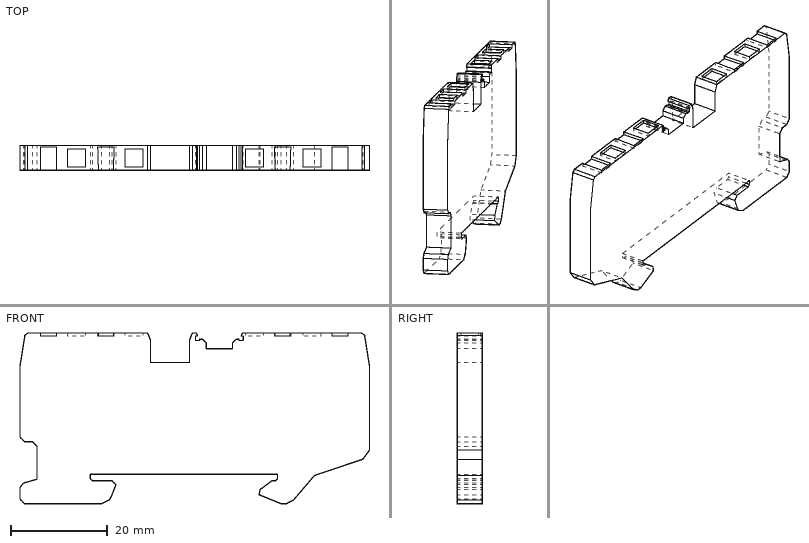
import cadquery as cq

LENGTH = 72.4
WIDTH = 5.2
HEIGHT = 35.4

TAPER_START_Z = 28.6
BEVEL_HEIGHT = 0.5
BEVEL_LENGTH = 0.6
END_TAPER = 1.0

RAIL_SEAT_Z = 6.1
RAIL_LIP_Z = 4.8
RAIL_LEFT_X = 14.6
RAIL_RIGHT_X = 53.3
LIP_RELIEF = 0.4

END_NOTCH_DEPTH = 3.5
END_NOTCH_TOP_Z = 12.85
END_NOTCH_BOTTOM_Z = 5.1

LEFT_BEVEL = 0.95

LEFT_FOOT_SHOULDER = (0.7, 4.3)
LEFT_FOOT_SIDE_TOP = (0, 3.4)
LEFT_FOOT_BASE_END = (16.9, 0)
LEFT_FOOT_TOE_LOWER = (18.5, 0.8)
LEFT_FOOT_TOE_UPPER = (18.9, 1.4)
LEFT_HOOK_TIP = (19.9, 3.95)
LEFT_HOOK_TOP = (19.05, RAIL_LIP_Z)

RIGHT_HOOK_TOP = (52.2, RAIL_LIP_Z)
RIGHT_HOOK_TIP_UPPER = (49.7, 2.95)
RIGHT_HOOK_TIP_LOWER = (49.5, 1.85)
RIGHT_FOOT_BASE_START = (54.1, 0)
RIGHT_FOOT_BASE_END = (55.2, 0)
RIGHT_FOOT_HEEL = (56.7, 0.8)
RIGHT_FOOT_ANKLE = (61.0, 5.85)

RIGHT_SLOPE_END = (71.0, 9.2)
RIGHT_SIDE_BOTTOM = (LENGTH, 11.1)

NOTCH_LEFT_X = 27.05
NOTCH_RIGHT_X = 35.1
NOTCH_FLOOR_Z = 29.3
NOTCH_FLARE_Z = 33.9
NOTCH_FLARE = 0.6

GROOVE_CENTRE_X = 41.3
GROOVE_FLOOR_Z = 32.15
GROOVE_HALF_FLOOR = 2.7
GROOVE_HALF_SHELF = 3.5
GROOVE_HALF_STEP = 4.1
GROOVE_HALF_UNDERCUT = 4.9
GROOVE_HALF_LIP = 4.5
GROOVE_HALF_MOUTH = 4.75
GROOVE_WALL_Z = 33.35
GROOVE_SHELF_Z = 34.1
GROOVE_UNDERCUT_Z = 33.85
GROOVE_LIP_Z = 34.75

POCKET_DEPTH = 0.65
POCKET_MIRROR_X = 36.1
SQUARE_SIDE = 3.7
SQUARE_CENTRES_X = (11.7, 23.65)
SLOT_BACK_WALL = 0.4
SLOT_WIDTH = 3.3
END_SLOT_X = 5.95
MIDDLE_SLOT_X = 17.8
MIDDLE_SLOT_BACK_WIDTH = 3.4
MIDDLE_SLOT_FRONT_WIDTH = 3.1


def prism(points):
    """Extrude a closed XZ outline through the full width of the part."""
    return cq.Workplane("XZ").polyline(points).close().extrude(-WIDTH)


def body():
    """Outer outline with the tapered upper ends and the sloped right foot."""
    right_shoulder_x = LENGTH - END_TAPER
    bevel_z = HEIGHT - BEVEL_HEIGHT
    upper_ends = [
        (LENGTH, TAPER_START_Z),
        (right_shoulder_x, bevel_z),
        (right_shoulder_x - BEVEL_LENGTH, HEIGHT),
        (END_TAPER + BEVEL_LENGTH, HEIGHT),
        (END_TAPER, bevel_z),
        (0, TAPER_START_Z),
    ]
    left_foot_base = [(0, LEFT_BEVEL), (LEFT_BEVEL, 0)]
    right_foot_slope = [
        RIGHT_FOOT_BASE_END,
        RIGHT_FOOT_HEEL,
        RIGHT_FOOT_ANKLE,
        RIGHT_SLOPE_END,
        RIGHT_SIDE_BOTTOM,
    ]
    return prism(left_foot_base + right_foot_slope + upper_ends)


def rail_recess():
    """Space for the DIN rail, bounded by the hook ends of both feet."""
    left_hook = [
        LEFT_FOOT_BASE_END,
        LEFT_FOOT_TOE_LOWER,
        LEFT_FOOT_TOE_UPPER,
        LEFT_HOOK_TIP,
        LEFT_HOOK_TOP,
        (RAIL_LEFT_X + LIP_RELIEF, RAIL_LIP_Z),
        (RAIL_LEFT_X, RAIL_LIP_Z + LIP_RELIEF),
        (RAIL_LEFT_X, RAIL_SEAT_Z),
    ]
    right_hook = [
        (RAIL_RIGHT_X, RAIL_SEAT_Z),
        (RAIL_RIGHT_X, RAIL_LIP_Z + LIP_RELIEF),
        (RAIL_RIGHT_X - LIP_RELIEF, RAIL_LIP_Z),
        RIGHT_HOOK_TOP,
        RIGHT_HOOK_TIP_UPPER,
        RIGHT_HOOK_TIP_LOWER,
        RIGHT_FOOT_BASE_START,
    ]
    return prism(left_hook + right_hook)


def end_notch():
    """Notch in the left end above the left foot."""
    return prism([
        (0, END_NOTCH_TOP_Z + LEFT_BEVEL),
        (LEFT_BEVEL, END_NOTCH_TOP_Z),
        (END_NOTCH_DEPTH - LEFT_BEVEL, END_NOTCH_TOP_Z),
        (END_NOTCH_DEPTH, END_NOTCH_TOP_Z - LEFT_BEVEL),
        (END_NOTCH_DEPTH, END_NOTCH_BOTTOM_Z),
        LEFT_FOOT_SHOULDER,
        LEFT_FOOT_SIDE_TOP,
    ])


def top_notch():
    """Deep rectangular notch with a flared mouth."""
    return prism([
        (NOTCH_LEFT_X - NOTCH_FLARE, HEIGHT),
        (NOTCH_LEFT_X, NOTCH_FLARE_Z),
        (NOTCH_LEFT_X, NOTCH_FLOOR_Z),
        (NOTCH_RIGHT_X, NOTCH_FLOOR_Z),
        (NOTCH_RIGHT_X, NOTCH_FLARE_Z),
        (NOTCH_RIGHT_X + NOTCH_FLARE, HEIGHT),
    ])


def marker_groove():
    """Stepped groove with an undercut below each lip."""
    half_outline = [
        (GROOVE_HALF_FLOOR, GROOVE_FLOOR_Z),
        (GROOVE_HALF_FLOOR, GROOVE_WALL_Z),
        (GROOVE_HALF_SHELF, GROOVE_SHELF_Z),
        (GROOVE_HALF_STEP, GROOVE_SHELF_Z),
        (GROOVE_HALF_STEP, GROOVE_UNDERCUT_Z),
        (GROOVE_HALF_UNDERCUT, GROOVE_UNDERCUT_Z),
        (GROOVE_HALF_UNDERCUT, GROOVE_LIP_Z),
        (GROOVE_HALF_LIP, GROOVE_LIP_Z),
        (GROOVE_HALF_MOUTH, HEIGHT),
    ]
    right = [(GROOVE_CENTRE_X + x, z) for x, z in half_outline]
    left = [(GROOVE_CENTRE_X - x, z) for x, z in reversed(half_outline)]
    return prism(right + left)


def square_pocket(centre_x):
    """Square pocket centred across the width."""
    return (
        cq.Workplane("XY", origin=(centre_x, WIDTH / 2, HEIGHT))
        .rect(SQUARE_SIDE, SQUARE_SIDE)
        .extrude(-POCKET_DEPTH)
    )


def open_slot(centre_x, front_width, back_width):
    """Slot open at the front face and closed by a thin wall at the back."""
    slot_back_y = WIDTH - SLOT_BACK_WALL
    return (
        cq.Workplane("XY", origin=(centre_x, 0, HEIGHT))
        .polyline([
            (-front_width / 2, 0),
            (front_width / 2, 0),
            (back_width / 2, slot_back_y),
            (-back_width / 2, slot_back_y),
        ])
        .close()
        .extrude(-POCKET_DEPTH)
    )


def mirrored(x):
    """X position mirrored to the other row of pockets."""
    return 2 * POCKET_MIRROR_X - x


result = body()
for recess in (rail_recess(), end_notch(), top_notch(), marker_groove()):
    result = result.cut(recess)

for square_x in SQUARE_CENTRES_X:
    for pocket_x in (square_x, mirrored(square_x)):
        result = result.cut(square_pocket(pocket_x))

for slot_x in (END_SLOT_X, mirrored(END_SLOT_X)):
    result = result.cut(open_slot(slot_x, SLOT_WIDTH, SLOT_WIDTH))

for slot_x in (MIDDLE_SLOT_X, mirrored(MIDDLE_SLOT_X)):
    result = result.cut(open_slot(slot_x, MIDDLE_SLOT_FRONT_WIDTH, MIDDLE_SLOT_BACK_WIDTH))